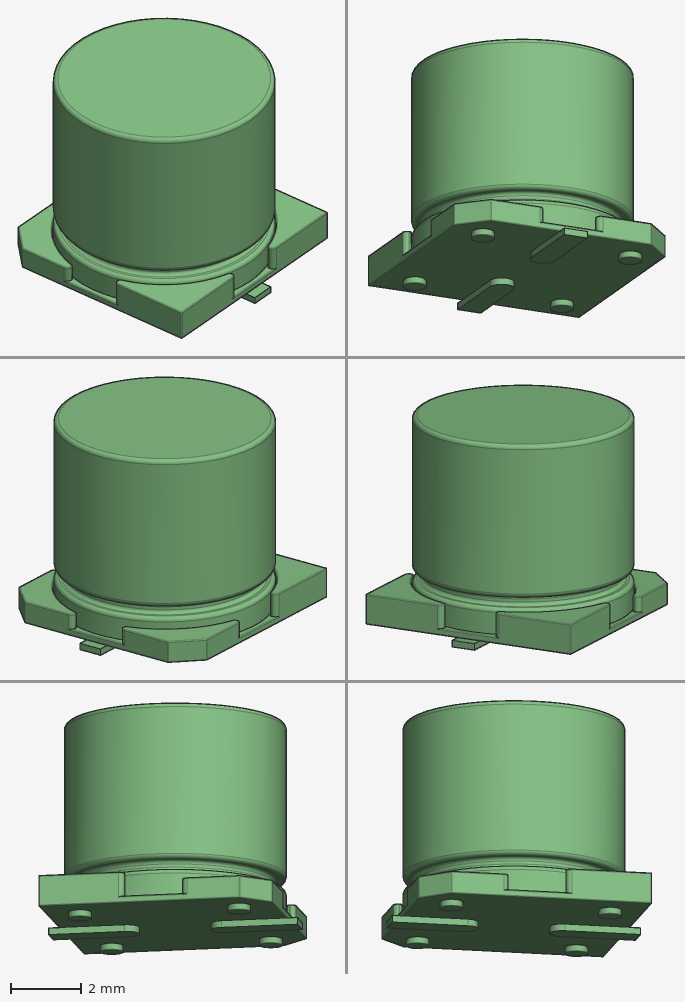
import cadquery as cq
import math

length_over_leads = 7.2
total_height = 6.0

base_side = 6.6
base_bottom = 0.195
floor_height = 0.39
post_bottom = (base_bottom + floor_height) / 2
low_post_height = 0.84
tall_post_height = 1.09
corner_cut = 0.79
recess_radius = 3.19
notch_half_width = 0.84
post_outer_round = 0.145
post_inner_round = 0.09
base_edge_round = 0.03

can_radius = 6.3 / 2
groove_radius = 5.67 / 2
can_top_round = 0.13
can_lip_round = 0.13
groove_root_round = 0.11
groove_bottom = 1.17
groove_top = 1.475

lead_width = 0.72
lead_inner_end = 1.045
standoff_end_diameter = 0.63
standoff_edge_round = 0.015
standoff_offset = 2.305

half_side = base_side / 2


def make_floor():
    """Thin square plate with the two -X corners cut off and softened edges."""
    return (
        cq.Workplane("XY", origin=(0, 0, base_bottom))
        .rect(base_side, base_side)
        .extrude(floor_height - base_bottom)
        .edges("|Z and <X")
        .chamfer(corner_cut)
        .edges()
        .fillet(base_edge_round)
    )


def make_post(x_side, y_side):
    """Corner post: an L of walls with a concave face that follows the can."""
    low_end = x_side < 0
    post_top = low_post_height if low_end else tall_post_height
    wall_reach = math.sqrt(recess_radius**2 - notch_half_width**2)
    arc_middle = recess_radius / math.sqrt(2)
    post = (
        cq.Workplane("XY", origin=(0, 0, post_bottom))
        .moveTo(notch_half_width, half_side)
        .lineTo(half_side, half_side)
        .lineTo(half_side, notch_half_width)
        .lineTo(wall_reach, notch_half_width)
        .threePointArc((arc_middle, arc_middle), (notch_half_width, wall_reach))
        .close()
        .extrude(post_top - post_bottom)
    )
    corner = post.edges("|Z").edges(">(1, 1, 0)")
    if low_end:
        cut_ends = corner.chamfer(corner_cut).faces(">(1, 1, 0)").edges("|Z")
        post = cut_ends.fillet(base_edge_round)
    else:
        post = corner.fillet(base_edge_round)
    outer_ends = [(notch_half_width, half_side), (half_side, notch_half_width)]
    inner_ends = [(notch_half_width, wall_reach), (wall_reach, notch_half_width)]
    middle_height = (post_bottom + post_top) / 2
    for ends, radius in ((outer_ends, post_outer_round), (inner_ends, post_inner_round)):
        for x, y in ends:
            end_edge = cq.selectors.NearestToPointSelector((x, y, middle_height))
            post = post.edges(end_edge).fillet(radius)
    post = post.faces(">Z").edges().fillet(base_edge_round)
    if low_end:
        post = post.mirror("YZ")
    if y_side < 0:
        post = post.mirror("XZ")
    return post


def make_can():
    """Round can, revolved, with a rounded crimp groove near its foot."""
    diagonal = math.sqrt(0.5)
    lip_inner = can_radius - can_lip_round
    lip_arc = lip_inner + can_lip_round * diagonal
    root_outer = groove_radius + groove_root_round
    root_arc = root_outer - groove_root_round * diagonal
    lower_lip = groove_bottom - can_lip_round
    upper_lip = groove_top + can_lip_round
    lower_root = groove_bottom + groove_root_round
    upper_root = groove_top - groove_root_round
    return (
        cq.Workplane("XZ")
        .moveTo(0, base_bottom)
        .lineTo(can_radius, base_bottom)
        .lineTo(can_radius, lower_lip)
        .threePointArc((lip_arc, lower_lip + can_lip_round * diagonal), (lip_inner, groove_bottom))
        .lineTo(root_outer, groove_bottom)
        .threePointArc((root_arc, lower_root - groove_root_round * diagonal), (groove_radius, lower_root))
        .lineTo(groove_radius, upper_root)
        .threePointArc((root_arc, upper_root + groove_root_round * diagonal), (root_outer, groove_top))
        .lineTo(lip_inner, groove_top)
        .threePointArc((lip_arc, upper_lip - can_lip_round * diagonal), (can_radius, upper_lip))
        .lineTo(can_radius, total_height)
        .lineTo(0, total_height)
        .close()
        .revolve(360, (0, 0), (0, 1))
        .faces(">Z")
        .edges()
        .fillet(can_top_round)
    )


def make_lead(x_side):
    """Flat lead with a round inner end, reaching out past the base."""
    outer_end = x_side * length_over_leads / 2
    inner_tip = x_side * lead_inner_end
    round_start = x_side * (lead_inner_end + lead_width / 2)
    return (
        cq.Workplane("XY")
        .moveTo(outer_end, -lead_width / 2)
        .lineTo(round_start, -lead_width / 2)
        .threePointArc((inner_tip, 0), (round_start, lead_width / 2))
        .lineTo(outer_end, lead_width / 2)
        .close()
        .extrude(base_bottom)
    )


def make_standoffs():
    """Four round feet near the corners; the end diameter is the flat inside the rounded edges."""
    return (
        cq.Workplane("XY")
        .rect(2 * standoff_offset, 2 * standoff_offset, forConstruction=True)
        .vertices()
        .circle(standoff_end_diameter / 2 + standoff_edge_round)
        .extrude(base_bottom)
        .faces("<Z or >Z")
        .edges()
        .fillet(standoff_edge_round)
    )


result = make_floor()
for x_side in (-1, 1):
    for y_side in (-1, 1):
        result = result.union(make_post(x_side, y_side))
result = result.union(make_can()).union(make_standoffs())
for x_side in (-1, 1):
    result = result.union(make_lead(x_side))